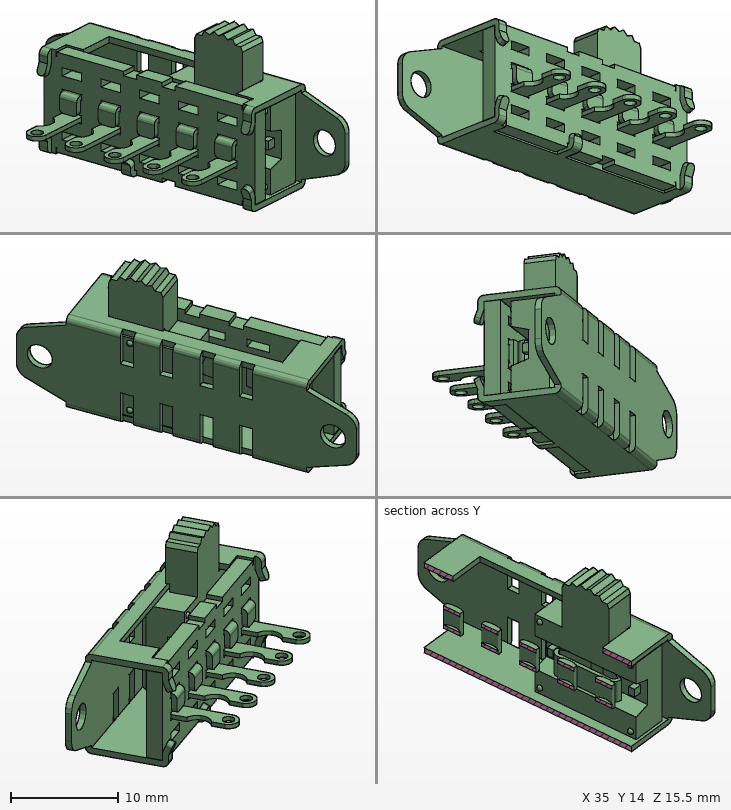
import cadquery as cq
import math


sheet = 0.63
bracket_half_length = 12.4
bracket_height = 10.45
bracket_half_height = bracket_height / 2
inner_half_height = bracket_half_height - sheet
bracket_depth = 7.7

overall_length = 34.98
ear_root_half_height = 4.37
ear_tip_half_height = 2.52
ear_corner_radius = 1.55
ear_hole_diameter = 2.55
ear_hole_spacing = 30.15

detent_window_width = 1.33
detent_window_sill = 1.65
detent_window_centres = (-6.12, -2.05, 2.05, 6.12)

opening_half_length = 8.92
opening_back = 2.1

insulator_half_length = 12.3
insulator_thickness = 1.6
insulator_back = bracket_depth - insulator_thickness
tongue_half_length = 10.8
tongue_clearance = 0.1
tongue_half_height = 5.05
notch_width = 1.5
notch_spacing = 4.5
notch_offset = notch_spacing / 2
slot_width = 2.27
side_slot_bottom = 2.8
side_slot_top = 3.65
middle_slot_half_height = 1.47

lug_width = 0.98
lug_bend_z = 3.92
lug_tilt = 22.0
lug_tip_z = 2.52
lug_rounding = 0.49
finger_width = 1.1
finger_tip_z = 3.5

terminal_count = 5
terminal_span = 18.12
terminal_pitch = terminal_span / (terminal_count - 1)
terminal_width = 2.03
terminal_thickness = 0.45
terminal_half_height = 1.33
terminal_tip = 14.03
terminal_hole_diameter = 1.15
tail_notch_depth = 0.8
tail_notch_length = 2.45
tail_notch_centre = 10.5
tab_thickness = 0.55
tab_bottom = -0.65
tab_corner = 0.42
crown_depth = 5.45
crown_shoulder = 5.63
crown_thickness = 0.28

slider_left = 0.05
knob_centre = 6.1
slider_length = 2 * (knob_centre - slider_left)
slider_front = 5.07
slider_top = 4.4
slider_bottom = -4.5
slider_chamfer = 0.6
trough_floor = 3.35
trough_floor_half_height = 1.45
trough_mouth_half_height = 1.92
neck_back = 2.3
knob_back = 1.9
knob_half_width = 2.8
knob_shoulder_z = 9.55
overall_height = 15.53
knob_top_z = overall_height - bracket_half_height
knob_valley_z = 10.0
knob_half_crown = [
    (knob_half_width, 9.05),
    (2.6, knob_shoulder_z),
    (1.95, knob_shoulder_z),
    (1.65, 10.07),
    (1.05, 9.85),
    (0.55, knob_top_z),
]
bump_radius = 0.3
bump_x = 0.65
bump_z = 3.8

bridge_half_length = 3.92
bridge_half_height = 1.2
bridge_front = 5.5
bridge_thickness = 0.42
bridge_leg_run = 2.8
bridge_lip_depth = 4.58
guide_half_height = 0.45
guide_depth = 4.27
guide_length = 0.7
guide_x = 1.22


def box(x_range, depth_range, z_range):
    """Box given by its X range, its depth range behind Y = 0 and its Z range."""
    x0, x1 = x_range
    d0, d1 = depth_range
    z0, z1 = z_range
    corner = cq.Vector(x0, -d1, z0)
    return cq.Workplane(obj=cq.Solid.makeBox(x1 - x0, d1 - d0, z1 - z0, corner))


def centred(middle, width):
    """Range of the given width about a middle value."""
    return (middle - width / 2, middle + width / 2)


def make_channel():
    """U-shaped bracket with rounded back corners, detent windows and flange cutouts."""
    full_x = (-bracket_half_length, bracket_half_length)
    channel = box(full_x, (0, bracket_depth), (-bracket_half_height, bracket_half_height))
    channel = channel.edges("|X and >Y").fillet(sheet)
    channel = channel.cut(
        box(full_x, (sheet, bracket_depth), (-inner_half_height, inner_half_height))
    )
    for x in detent_window_centres:
        window_x = centred(x, detent_window_width)
        for z_range in (
            (detent_window_sill, bracket_half_height),
            (-bracket_half_height, -detent_window_sill),
        ):
            channel = channel.cut(box(window_x, (0, sheet), z_range))

    cutout_half_length = tongue_half_length + tongue_clearance
    channel = channel.cut(
        box(
            (-cutout_half_length, cutout_half_length),
            (insulator_back, bracket_depth),
            (-bracket_half_height, bracket_half_height),
        )
    )
    return channel.cut(
        box(
            (-opening_half_length, opening_half_length),
            (opening_back, insulator_back),
            (inner_half_height, bracket_half_height),
        )
    )


def make_ears():
    """Both tapered mounting ears, each with a screw hole."""
    tip = overall_length / 2
    ears = (
        cq.Workplane("XZ")
        .polyline(
            [
                (-tip, -ear_tip_half_height),
                (-bracket_half_length, -ear_root_half_height),
                (bracket_half_length, -ear_root_half_height),
                (tip, -ear_tip_half_height),
                (tip, ear_tip_half_height),
                (bracket_half_length, ear_root_half_height),
                (-bracket_half_length, ear_root_half_height),
                (-tip, ear_tip_half_height),
            ]
        )
        .close()
        .extrude(sheet)
        .edges("|Y and (<X or >X)")
        .fillet(ear_corner_radius)
        .faces("<Y")
        .workplane(origin=(0, 0, 0))
        .rarray(ear_hole_spacing, 0.35, 2, 1)
        .hole(ear_hole_diameter)
    )
    middle = box(
        (-bracket_half_length, bracket_half_length),
        (0, sheet),
        (-ear_root_half_height, ear_root_half_height),
    )
    return ears.cut(middle)


def make_lug(x, width, tip_z, side):
    """Lug folded over the insulator from the upper (side = 1) or lower (side = -1) flange."""
    tilt = math.radians(lug_tilt)
    inner = -bracket_depth
    outer = inner - sheet
    bend_middle = sheet * math.sqrt(0.5)
    inner_bend_z = lug_bend_z - sheet * math.tan(tilt / 2)
    inner_tip = inner - (inner_bend_z - tip_z) * math.tan(tilt)
    lug = (
        cq.Workplane("YZ", origin=(x - width / 2, 0, 0))
        .moveTo(inner, bracket_half_height)
        .threePointArc(
            (inner - bend_middle, inner_half_height + bend_middle),
            (outer, inner_half_height),
        )
        .lineTo(outer, lug_bend_z)
        .lineTo(inner_tip - sheet * math.cos(tilt), tip_z + sheet * math.sin(tilt))
        .lineTo(inner_tip, tip_z)
        .lineTo(inner, inner_bend_z)
        .close()
        .extrude(width)
    )
    across_sheet = cq.Vector(0, -math.cos(tilt), math.sin(tilt))
    tip_corners = cq.selectors.ParallelDirSelector(across_sheet)
    lug = lug.edges(tip_corners).fillet(lug_rounding * width)
    return lug if side > 0 else lug.mirror("XY")


def make_lugs():
    """Four corner lugs and the locating finger in the lower left notch."""
    lug_x = bracket_half_length - lug_width / 2
    lugs = make_lug(-notch_offset, finger_width, finger_tip_z, -1)
    lugs = lugs.union(
        box(
            centred(-notch_offset, finger_width),
            (insulator_back, bracket_depth),
            (-bracket_half_height, -inner_half_height),
        )
    )
    for x in (-lug_x, lug_x):
        for side in (-1, 1):
            lugs = lugs.union(make_lug(x, lug_width, lug_tip_z, side))
    return lugs


def terminal_positions():
    """X centres of the evenly spaced terminals."""
    return [-terminal_span / 2 + i * terminal_pitch for i in range(terminal_count)]


def make_insulator():
    """Slotted insulator plate with notched tongues."""
    depth = (insulator_back, bracket_depth)
    plate = box(
        (-insulator_half_length, insulator_half_length),
        depth,
        (-inner_half_height, inner_half_height),
    )
    plate = plate.union(
        box(
            (-tongue_half_length, tongue_half_length),
            depth,
            (-tongue_half_height, tongue_half_height),
        )
    )
    for x in (-notch_offset, notch_offset):
        for z_range in (
            (inner_half_height, tongue_half_height),
            (-tongue_half_height, -inner_half_height),
        ):
            plate = plate.cut(box(centred(x, notch_width), depth, z_range))
    for x in terminal_positions():
        for z_range in (
            (side_slot_bottom, side_slot_top),
            (-side_slot_top, -side_slot_bottom),
            (-middle_slot_half_height, middle_slot_half_height),
        ):
            plate = plate.cut(box(centred(x, slot_width), depth, z_range))
    return plate


def make_terminal():
    """Terminal at X = 0: inner crown, two arms, folded front tab and soldering tail."""
    half = terminal_width / 2
    width = (-half, half)
    arm_inner_z = terminal_half_height - terminal_thickness
    tab_front = bracket_depth + tab_thickness

    crown = (
        cq.Workplane("XY", origin=(0, 0, -terminal_half_height))
        .moveTo(-half, -insulator_back)
        .lineTo(-half, -crown_shoulder)
        .threePointArc((0, -crown_depth), (half, -crown_shoulder))
        .lineTo(half, -insulator_back)
        .threePointArc((0, -crown_depth - crown_thickness), (-half, -insulator_back))
        .close()
        .extrude(2 * terminal_half_height)
    )

    upper_arm = box(width, (crown_shoulder, tab_front), (arm_inner_z, terminal_half_height))
    tab = (
        box(width, (bracket_depth, tab_front), (tab_bottom, terminal_half_height))
        .edges("|Y and <Z")
        .fillet(tab_corner)
    )
    fold = upper_arm.union(tab).edges("|X and >Z and <Y").fillet(tab_thickness)

    key = box(centred(0, slot_width), (insulator_back, bracket_depth), (tab_bottom, arm_inner_z))

    hole_depth = terminal_tip - half
    notch_start = tail_notch_centre - tail_notch_length / 2
    notch_end = tail_notch_centre + tail_notch_length / 2
    tail = (
        cq.Workplane("XY", origin=(0, 0, -terminal_half_height))
        .moveTo(half, -crown_shoulder)
        .lineTo(half, -hole_depth)
        .threePointArc((0, -terminal_tip), (-half, -hole_depth))
        .lineTo(-half, -notch_end)
        .threePointArc((-half + tail_notch_depth, -tail_notch_centre), (-half, -notch_start))
        .lineTo(-half, -crown_shoulder)
        .close()
        .extrude(terminal_thickness)
    )
    tail = tail.cut(
        cq.Workplane("XY", origin=(0, -hole_depth, -terminal_half_height))
        .circle(terminal_hole_diameter / 2)
        .extrude(terminal_thickness)
    )
    return crown.union(fold).union(key).union(tail)


def make_knob():
    """Finger knob with a serrated crown on a neck that passes through the opening."""
    outline = [(-knob_half_width, bracket_half_height)]
    outline += [(-x, z) for x, z in knob_half_crown]
    outline += [(0, knob_valley_z)]
    outline += knob_half_crown[::-1]
    outline += [(knob_half_width, bracket_half_height)]
    knob = (
        cq.Workplane("XZ", origin=(knob_centre, -knob_back, 0))
        .polyline(outline)
        .close()
        .extrude(slider_front - knob_back)
    )
    neck = box(
        centred(knob_centre, 2 * knob_half_width),
        (neck_back, slider_front),
        (trough_mouth_half_height, bracket_half_height),
    )
    return knob.union(neck)


def make_slider():
    """Sliding block with a trough, contact bumps and the finger knob."""
    block = box(
        (slider_left, slider_left + slider_length),
        (sheet, slider_front),
        (slider_bottom, slider_top),
    )
    block = block.edges("|Z and >Y").chamfer(slider_chamfer)
    trough = (
        cq.Workplane("YZ", origin=(slider_left, 0, 0))
        .polyline(
            [
                (-trough_floor, trough_floor_half_height),
                (-slider_front, trough_mouth_half_height),
                (-slider_front, -trough_mouth_half_height),
                (-trough_floor, -trough_floor_half_height),
            ]
        )
        .close()
        .extrude(slider_length)
    )
    slider = block.cut(trough).union(make_knob())
    for x in (bump_x, slider_length + 2 * slider_left - bump_x):
        for z in (-bump_z, bump_z):
            bump = cq.Workplane("XY", origin=(x, -slider_front, z)).sphere(bump_radius)
            slider = slider.union(bump)
    for z in (-bump_z, bump_z):
        detent = cq.Workplane("XY", origin=(knob_centre, -sheet, z)).sphere(bump_radius)
        slider = slider.union(detent)
    return slider


def make_bridge():
    """Contact strip in the trough: two mirrored halves, each with a guide block at its end."""
    lip = bridge_front - bridge_lip_depth
    inner_lip = lip - bridge_thickness
    bend_x = -bridge_half_length + lip
    leg_foot_x = -bridge_half_length + bridge_leg_run
    left_half = (
        cq.Workplane("XY", origin=(0, 0, -bridge_half_height))
        .moveTo(0, -bridge_front)
        .lineTo(bend_x, -bridge_front)
        .radiusArc((-bridge_half_length, -bridge_lip_depth), lip)
        .lineTo(leg_foot_x, -trough_floor)
        .lineTo(leg_foot_x + bridge_thickness, -trough_floor)
        .lineTo(-bridge_half_length + bridge_thickness, -bridge_lip_depth)
        .radiusArc((bend_x, -bridge_lip_depth - inner_lip), -inner_lip)
        .lineTo(0, -bridge_lip_depth - inner_lip)
        .close()
        .extrude(2 * bridge_half_height)
    )
    strip = left_half.union(left_half.mirror("YZ")).translate((knob_centre, 0, 0))
    for x in (guide_x, 2 * knob_centre - guide_x):
        guide = box(
            centred(x, guide_length),
            (trough_floor, guide_depth),
            (-guide_half_height, guide_half_height),
        )
        strip = strip.union(guide)
    return strip


result = make_channel().union(make_ears()).union(make_lugs()).union(make_insulator())
result = result.union(make_slider().union(make_bridge()))
terminal = make_terminal()
for terminal_x in terminal_positions():
    result = result.union(terminal.translate((terminal_x, 0, 0)))